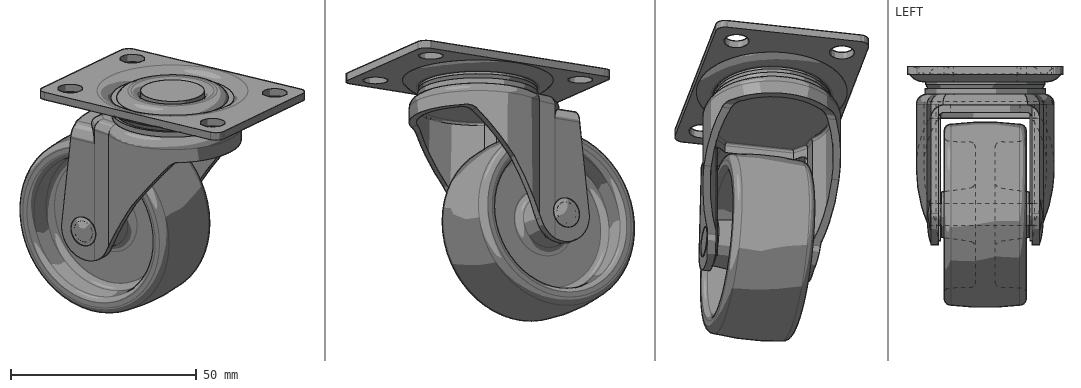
import cadquery as cq
import math


plate_length = 59.95
plate_width = 42.0
sheet = 2.15
plate_corner_radius = 2.6
hole_diameter = 6.65
hole_spacing_x = 47.0
hole_spacing_y = 29.0
bowl_radius = 20.35
bowl_floor_radius = 16.6
crest_foot_radius = 15.1
crest_outer_radius = 12.05
crest_inner_radius = 11.2
pin_radius = 8.6
bowl_depth = 2.0
plate_underside = -(bowl_depth + sheet)

ring_band_radius = 16.05
ring_neck_radius = 15.5
ring_lip_radius = 16.3
ring_band_bottom = -4.8
ring_lip_top = -6.0
crown_top = -7.5

axle_x = -19.0
axle_z = -39.95
wheel_radius = 25.0
wheel_half_width = 11.1
rim_outer_radius = 22.6
shoulder_round = 1.85
tread_edge_radius = rim_outer_radius + shoulder_round
tread_half_width = wheel_half_width - shoulder_round
rim_inner_radius = 21.2
rim_round = 1.3
wall_foot_radius = 19.7
wall_foot_y = 4.3
web_radius = 18.05
web_half_width = 2.7
hub_base_radius = 9.2
hub_foot_radius = 7.2
hub_foot_y = 4.15
hub_end_radius = 6.15
hub_half_width = 11.9

axle_radius = 2.95
axle_head_radius = 4.1
axle_head_rim = 0.15
axle_head_height = 0.9

fork_thickness = 2.0
crown_radius = 18.6
crown_edge_radius = 2.75
crown_front_x = -18.7
crown_corner_cut = 3.25
flare_end_x = -10.0
leg_half_width = 14.65
leg_inner_half_width = leg_half_width - fork_thickness
arm_top = -10.35
arm_end_x = -14.05
arm_bend_radius = 3.7
arm_nose_x = -25.45
arm_corner_x = -23.2
skirt_bottom = -14.0
leg_end_x = -18.1
leg_end_radius = 8.15
leg_end_angle = -20.0
leg_end_tilt = 2.0
leg_back_mid = (-0.3, -27.6)
leg_back_top = (9.9, -15.0)
skirt_round_end_x = 12.8
outline_margin = 3.7


def revolve_about_z(profile):
    """Revolve an (R, Z) profile drawn on the XZ plane about the Z axis."""
    return profile.close().revolve(360, (0, 0, 0), (0, 1, 0))


def revolve_about_y(profile):
    """Revolve an (R, Y) profile drawn on the XY plane about the Y axis."""
    return profile.close().revolve(360, (0, 0, 0), (0, 1, 0))


def circle_point(center_a, center_b, radius, degrees):
    """Point on a circle at an angle from its first axis."""
    angle = math.radians(degrees)
    return center_a + radius * math.cos(angle), center_b + radius * math.sin(angle)


def drop_arc_middle(start_radius, end_radius):
    """Middle of the arc that starts level at the plate top and drops to the bowl floor."""
    run = end_radius - start_radius
    arc_radius = (run**2 + bowl_depth**2) / (2 * bowl_depth)
    half_angle = math.asin(abs(run) / arc_radius) / 2
    across = math.copysign(arc_radius * math.sin(half_angle), run)
    return start_radius + across, arc_radius * (math.cos(half_angle) - 1)


def make_plate():
    """Flat flange with a pressed bowl that rises to a rounded crest around the pin hole."""
    flange = (
        cq.Workplane("XY")
        .box(plate_length, plate_width, sheet, centered=(True, True, False))
        .translate((0, 0, -sheet))
        .edges("|Z")
        .fillet(plate_corner_radius)
        .faces(">Z")
        .workplane(origin=(0, 0, 0))
        .rect(hole_spacing_x, hole_spacing_y, forConstruction=True)
        .vertices()
        .hole(hole_diameter)
        .faces(">Z")
        .workplane(origin=(0, 0, 0))
        .hole(2 * bowl_radius)
    )
    hole_round = crest_inner_radius - pin_radius
    bowl = revolve_about_z(
        cq.Workplane("XZ")
        .moveTo(crest_outer_radius, 0)
        .lineTo(crest_inner_radius, 0)
        .tangentArcPoint((pin_radius, -hole_round), relative=False)
        .lineTo(pin_radius, plate_underside)
        .lineTo(bowl_floor_radius, plate_underside)
        .tangentArcPoint((bowl_radius, -sheet), relative=False)
        .lineTo(bowl_radius, 0)
        .threePointArc(drop_arc_middle(bowl_radius, bowl_floor_radius), (bowl_floor_radius, -bowl_depth))
        .lineTo(crest_foot_radius, -bowl_depth)
        .threePointArc(drop_arc_middle(crest_outer_radius, crest_foot_radius), (crest_outer_radius, 0))
    )
    return flange.union(bowl)


def make_swivel_ring():
    """Grooved ring between plate and fork, with a pin that fills the hole in the plate."""
    return revolve_about_z(
        cq.Workplane("XZ")
        .moveTo(0, 0)
        .lineTo(pin_radius, 0)
        .lineTo(pin_radius, plate_underside)
        .lineTo(ring_band_radius, plate_underside)
        .lineTo(ring_band_radius, ring_band_bottom)
        .lineTo(ring_neck_radius, ring_lip_top)
        .lineTo(ring_lip_radius, ring_lip_top)
        .lineTo(ring_lip_radius, crown_top)
        .lineTo(0, crown_top)
    )


def crown_block(inset, edge_radius):
    """Crown outline pulled in by inset on every side, reaching down past the leg ends."""
    radius = crown_radius - inset
    half_width = leg_half_width - inset
    front_x = crown_front_x + inset
    front_half_width = half_width - crown_corner_cut
    corner_x = front_x + crown_corner_cut
    flare_y = math.sqrt(radius**2 - flare_end_x**2)
    height = crown_top - inset - (axle_z - leg_end_radius) + outline_margin
    return (
        cq.Workplane("XY", origin=(0, 0, crown_top - inset))
        .moveTo(front_x, front_half_width)
        .lineTo(corner_x, half_width)
        .lineTo(flare_end_x, flare_y)
        .threePointArc((radius, 0), (flare_end_x, -flare_y))
        .lineTo(corner_x, -half_width)
        .lineTo(front_x, -front_half_width)
        .close()
        .extrude(-height)
        .faces(">Z")
        .edges()
        .fillet(edge_radius)
    )


def arm_block(inset, bend_radius):
    """Front arm and legs as a block with rounded upper edges along X."""
    top = arm_top - inset
    height = top - (axle_z - leg_end_radius) + outline_margin
    start_x = arm_nose_x - outline_margin
    length = arm_end_x - start_x
    return (
        cq.Workplane("XY")
        .box(length, 2 * (leg_half_width - inset), height, centered=(False, True, False))
        .translate((start_x, 0, top - height))
        .edges("|X and >Z")
        .fillet(bend_radius)
    )


def fork_side_outline():
    """Side outline of the fork as a prism across its full width."""
    leg_front = circle_point(leg_end_x, axle_z, leg_end_radius, 180 - leg_end_tilt)
    leg_bottom = circle_point(leg_end_x, axle_z, leg_end_radius, -90)
    leg_back = circle_point(leg_end_x, axle_z, leg_end_radius, leg_end_angle)
    front_x = arm_nose_x - outline_margin
    back_x = crown_radius + outline_margin
    return (
        cq.Workplane("XZ")
        .moveTo(front_x, 0)
        .lineTo(front_x, skirt_bottom)
        .lineTo(arm_corner_x, skirt_bottom)
        .lineTo(*leg_front)
        .threePointArc(leg_bottom, leg_back)
        .lineTo(*leg_back_mid)
        .lineTo(*leg_back_top)
        .tangentArcPoint((skirt_round_end_x, skirt_bottom), relative=False)
        .lineTo(back_x, skirt_bottom)
        .lineTo(back_x, 0)
        .close()
        .extrude(crown_radius + outline_margin, both=True)
    )


def nose_trim():
    """Material in front of the bowed leading edge of the arm."""
    front_x = arm_nose_x - 2 * outline_margin
    side_y = leg_half_width + outline_margin
    return (
        cq.Workplane("XY")
        .moveTo(front_x, side_y)
        .lineTo(arm_corner_x, side_y)
        .lineTo(arm_corner_x, leg_inner_half_width)
        .threePointArc((arm_nose_x, 0), (arm_corner_x, -leg_inner_half_width))
        .lineTo(arm_corner_x, -side_y)
        .lineTo(front_x, -side_y)
        .close()
        .extrude(skirt_bottom)
    )


def make_fork():
    """Bent sheet fork, with holes and head seats that match the axle."""
    inner_bend_radius = arm_bend_radius - fork_thickness
    inner_edge_radius = crown_edge_radius - fork_thickness
    outside = crown_block(0, crown_edge_radius).union(arm_block(0, arm_bend_radius))
    cavity = crown_block(fork_thickness, inner_edge_radius).union(
        arm_block(fork_thickness, inner_bend_radius)
    )
    return (
        outside.cut(cavity)
        .intersect(fork_side_outline())
        .cut(nose_trim())
        .cut(make_axle())
    )


def wheel_side_cut():
    """Annular recess between hub and rim on the +Y side of the wheel."""
    return revolve_about_y(
        cq.Workplane("XY")
        .moveTo(hub_end_radius, hub_half_width)
        .lineTo(hub_foot_radius, hub_foot_y)
        .tangentArcPoint((hub_base_radius, web_half_width), relative=False)
        .lineTo(web_radius, web_half_width)
        .tangentArcPoint((wall_foot_radius, wall_foot_y), relative=False)
        .lineTo(rim_inner_radius - rim_round, wheel_half_width - rim_round)
        .tangentArcPoint((rim_inner_radius, wheel_half_width), relative=False)
        .lineTo(rim_inner_radius, hub_half_width)
    )


def make_wheel():
    """Blank with a crowned tread and rounded shoulders, recessed on both sides around the hub."""
    shoulder_middle = circle_point(rim_outer_radius, tread_half_width, shoulder_round, 45)
    blank = revolve_about_y(
        cq.Workplane("XY")
        .moveTo(axle_radius, -hub_half_width)
        .lineTo(axle_radius, hub_half_width)
        .lineTo(rim_inner_radius, hub_half_width)
        .lineTo(rim_inner_radius, wheel_half_width)
        .lineTo(rim_outer_radius, wheel_half_width)
        .threePointArc(shoulder_middle, (tread_edge_radius, tread_half_width))
        .threePointArc((wheel_radius, 0), (tread_edge_radius, -tread_half_width))
        .threePointArc((shoulder_middle[0], -shoulder_middle[1]), (rim_outer_radius, -wheel_half_width))
        .lineTo(rim_inner_radius, -wheel_half_width)
        .lineTo(rim_inner_radius, -hub_half_width)
    )
    side_cut = wheel_side_cut()
    return blank.cut(side_cut).cut(side_cut.mirror("XZ")).translate((axle_x, 0, axle_z))


def make_axle():
    """Plain shank with a shallow conical rivet head outside each leg."""
    head_base_y = leg_half_width
    half = revolve_about_y(
        cq.Workplane("XY")
        .lineTo(axle_radius, 0)
        .lineTo(axle_radius, head_base_y)
        .lineTo(axle_head_radius, head_base_y)
        .lineTo(axle_head_radius, head_base_y + axle_head_rim)
        .lineTo(0, head_base_y + axle_head_height)
    )
    return half.union(half.mirror("XZ")).translate((axle_x, 0, axle_z))


plate = make_plate()
swivel_ring = make_swivel_ring()
fork = make_fork()
wheel = make_wheel()
axle = make_axle()

result = cq.Compound.makeCompound(
    [plate.val(), swivel_ring.val(), fork.val(), wheel.val(), axle.val()]
)